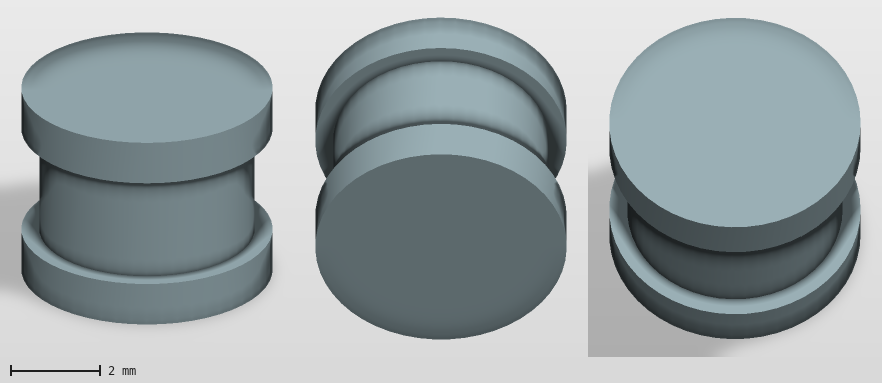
import cadquery as cq

flange_diameter = 5.6
core_diameter = 4.8
total_height = 4.5
flange_thickness = 1.0

core_height = total_height - 2 * flange_thickness


def add_disc(body, diameter, thickness):
    """Stack a coaxial disc on the top face of the body."""
    return body.faces(">Z").workplane().circle(diameter / 2).extrude(thickness)


bottom_flange = (
    cq.Workplane("XY")
    .workplane(offset=-total_height / 2)
    .circle(flange_diameter / 2)
    .extrude(flange_thickness)
)
flange_and_core = add_disc(bottom_flange, core_diameter, core_height)
result = add_disc(flange_and_core, flange_diameter, flange_thickness)